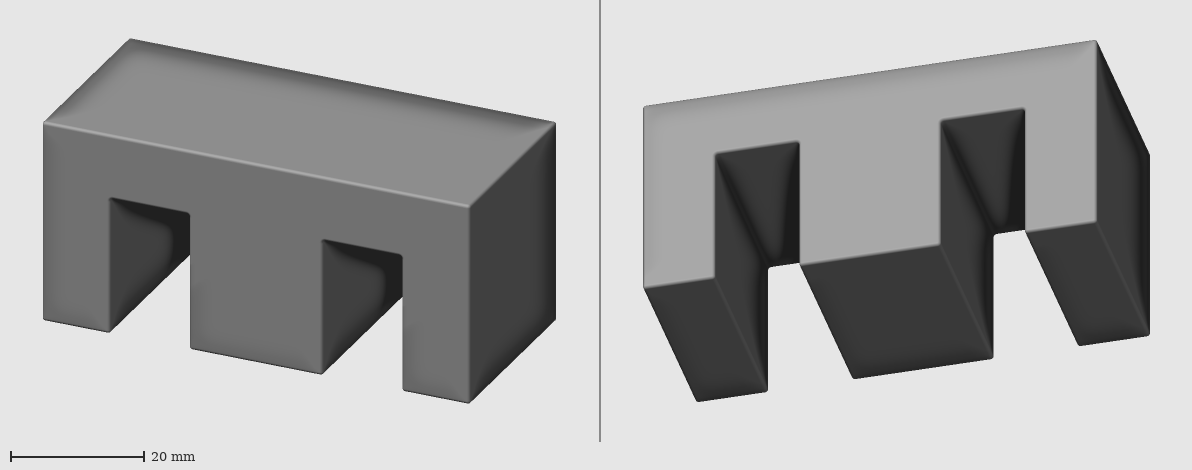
import cadquery as cq

length = 70.5
depth = 32.0
height = 33.2

window_width = 48.0
centre_leg_width = 22.0
slot_height = 22.55
slot_width = (window_width - centre_leg_width) / 2
slot_offset = (window_width + centre_leg_width) / 4

slot_corner_radius = 0.5
edge_radius = 0.5


def slot(x_centre):
    """Slot cutter running through the full depth, with rounded upper corners."""
    cutter = cq.Workplane("XY").box(slot_width, depth, slot_height, centered=(True, True, False))
    return cutter.edges("|Y and >Z").fillet(slot_corner_radius).translate((x_centre, 0, 0))


core = cq.Workplane("XY").box(length, depth, height, centered=(True, True, False))
for side in (-1, 1):
    core = core.cut(slot(side * slot_offset))

result = core.edges("<Y or >Y or <Z or >Z or <X or >X").fillet(edge_radius)